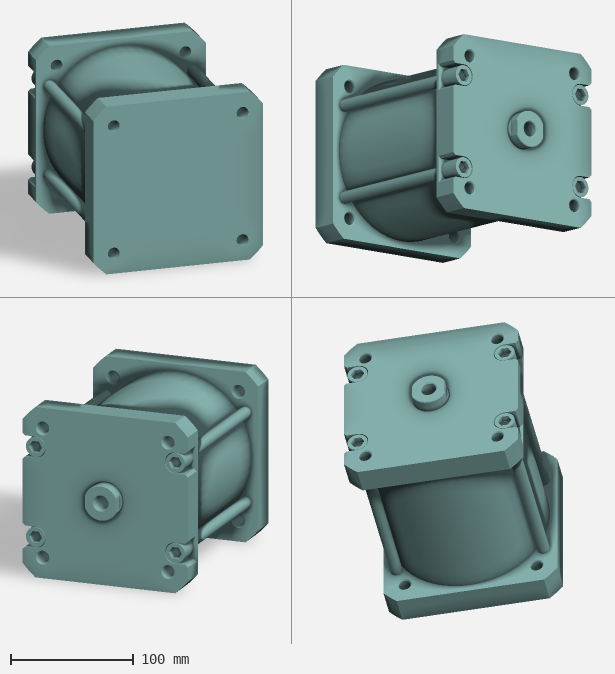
import cadquery as cq
import math

total_length = 188.0
rod_projection = 10.2
front_plate_thickness = 22.0
rear_plate_thickness = 22.5
front_plate_x = rod_projection
barrel_front_x = front_plate_x + front_plate_thickness
rear_plate_x = total_length - rear_plate_thickness
barrel_length = rear_plate_x - barrel_front_x

plate_side = 145.0
plate_corner_radius = 95.0
mount_hole_spacing = 110.0
mount_hole_diameter = 10.0
mount_hole_chamfer = 1.0

barrel_diameter = 133.0

rod_diameter = 30.0
rod_end_chamfer = 0.5
rod_flat_width = 27.3
rod_flat_length = 8.0
rod_bore_countersink = 1.0
rod_socket_diameter = 12.5
rod_socket_chamfer = 0.8
rod_socket_depth = 18.8
drill_point_angle = 118.0

bolt_spacing_y = 122.5
bolt_spacing_z = 76.7
bolt_diameter = 10.0
bolt_head_diameter = 16.7
bolt_head_recess = 0.4
hex_width = 9.8
hex_depth = 5.6
hex_step_width = 8.3
hex_step_depth = 0.5
slot_width = 18.0
slot_depth = 19.2
slot_mouth_chamfer = 2.0


def x_cylinder(diameter, x_start, length, y=0.0, z=0.0):
    """Solid cylinder along +X, starting at x_start."""
    return cq.Workplane("YZ", origin=(x_start, y, z)).circle(diameter / 2).extrude(length)


def x_cone(start_diameter, end_diameter, x_start, length, y=0.0, z=0.0):
    """Solid cone or frustum along +X, starting at x_start."""
    axis = (cq.Vector(x_start, y, z), cq.Vector(1, 0, 0))
    return cq.Workplane(cq.Solid.makeCone(start_diameter / 2, end_diameter / 2, length, *axis))


def countersink(diameter, size, x_start, y=0.0, z=0.0):
    """45 degree cutter for a hole that opens on a face at x_start."""
    return x_cone(diameter + 2 * size, diameter, x_start, size, y, z)


def corner_places(spacing_y, spacing_z):
    """The four (y, z) places of a rectangular pattern centred on the axis."""
    return [(sy * spacing_y / 2, sz * spacing_z / 2) for sy in (-1, 1) for sz in (-1, 1)]


bolt_places = corner_places(bolt_spacing_y, bolt_spacing_z)
mount_hole_places = corner_places(mount_hole_spacing, mount_hole_spacing)


def make_plate(x_start, thickness):
    """End plate with rounded corners and four countersunk mounting holes."""
    plate = cq.Workplane("YZ", origin=(x_start, 0, 0)).rect(plate_side, plate_side).extrude(thickness)
    plate = plate.intersect(x_cylinder(2 * plate_corner_radius, x_start, thickness))
    for y, z in mount_hole_places:
        plate = plate.cut(x_cylinder(mount_hole_diameter, x_start, thickness, y, z))
        plate = plate.cut(countersink(mount_hole_diameter, mount_hole_chamfer, x_start, y, z))
    return plate


def make_head_slot(y, z):
    """Cutter for a bolt head slot: round inner end, open and flared at the plate's side."""
    side = math.copysign(1, y)
    edge_y = side * plate_side / 2
    flare_y = edge_y - side * slot_mouth_chamfer
    half_width = slot_width / 2
    half_mouth = half_width + slot_mouth_chamfer
    return (
        cq.Workplane("YZ", origin=(front_plate_x, 0, 0))
        .moveTo(y, z - half_width)
        .lineTo(flare_y, z - half_width)
        .lineTo(edge_y, z - half_mouth)
        .lineTo(edge_y, z + half_mouth)
        .lineTo(flare_y, z + half_width)
        .lineTo(y, z + half_width)
        .threePointArc((y - side * half_width, z), (y, z - half_width))
        .close()
        .extrude(slot_depth)
    )


def make_front_plate():
    """Front plate with the rod bore, the bolt head slots and the bolt holes."""
    plate = make_plate(front_plate_x, front_plate_thickness)
    plate = plate.cut(x_cylinder(rod_diameter, front_plate_x, front_plate_thickness))
    plate = plate.cut(countersink(rod_diameter, rod_bore_countersink, front_plate_x))
    for y, z in bolt_places:
        plate = plate.cut(make_head_slot(y, z))
        plate = plate.cut(x_cylinder(bolt_diameter, front_plate_x, front_plate_thickness, y, z))
    return plate


def make_rod_flat(side):
    """Cutter for one wrench flat, ending in a 45 degree run-out."""
    flat_y = side * rod_flat_width / 2
    outer_y = side * rod_diameter / 2
    run_out_x = rod_flat_length + (rod_diameter - rod_flat_width) / 2
    return (
        cq.Workplane("XY")
        .polyline([(0, flat_y), (rod_flat_length, flat_y), (run_out_x, outer_y), (0, outer_y)])
        .close()
        .extrude(rod_diameter / 2, both=True)
    )


def make_rod():
    """Piston rod with a chamfered end, two wrench flats and a drilled socket."""
    rod = x_cylinder(rod_diameter, 0, barrel_front_x).faces("<X").chamfer(rod_end_chamfer)
    for side in (-1, 1):
        rod = rod.cut(make_rod_flat(side))
    point_length = rod_socket_diameter / 2 / math.tan(math.radians(drill_point_angle / 2))
    rod = rod.cut(x_cylinder(rod_socket_diameter, 0, rod_socket_depth))
    rod = rod.cut(x_cone(rod_socket_diameter, 0, rod_socket_depth, point_length))
    return rod.cut(countersink(rod_socket_diameter, rod_socket_chamfer, 0))


def make_hex_socket(x_start, y, z):
    """Cutter for a hexagon socket with a smaller hexagon step in its floor, two corners along Y."""
    flats_to_corners = math.cos(math.pi / 6)
    profile = cq.Workplane("YZ", origin=(x_start, y, z))
    mouth = profile.polygon(6, hex_width / flats_to_corners).extrude(hex_depth)
    step = profile.polygon(6, hex_step_width / flats_to_corners).extrude(hex_depth + hex_step_depth)
    return mouth.union(step)


def make_tie_bolt(y, z):
    """Socket-head tie bolt, from its slot in the front plate to the rear plate."""
    head_x = front_plate_x + bolt_head_recess
    head_end_x = front_plate_x + slot_depth
    head = x_cylinder(bolt_head_diameter, head_x, head_end_x - head_x, y, z)
    shank = x_cylinder(bolt_diameter, head_end_x, rear_plate_x - head_end_x, y, z)
    return head.union(shank).cut(make_hex_socket(head_x, y, z))


front_plate = make_front_plate()
rear_plate = make_plate(rear_plate_x, rear_plate_thickness)
barrel = x_cylinder(barrel_diameter, barrel_front_x, barrel_length)
rod = make_rod()
tie_bolts = [make_tie_bolt(y, z).val() for y, z in bolt_places]

result = cq.Compound.makeCompound([front_plate.val(), rear_plate.val(), barrel.val(), rod.val(), *tie_bolts])